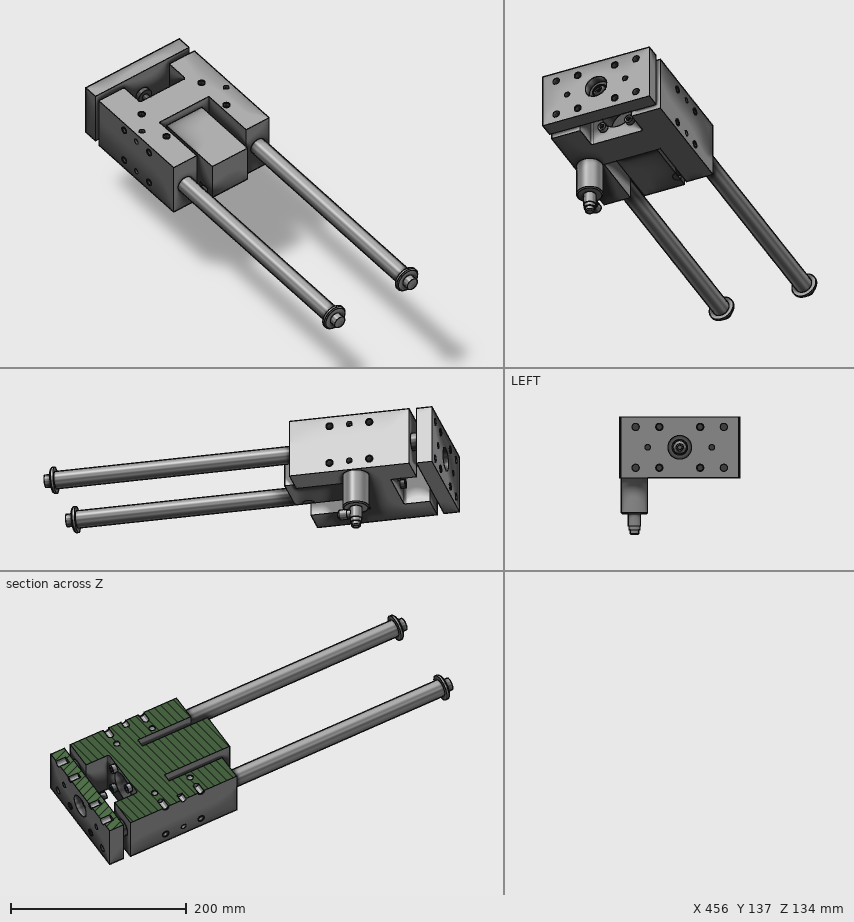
import cadquery as cq
import math

OVERALL_LENGTH = 456.0
OVERALL_WIDTH = 137.0
OVERALL_HEIGHT = 134.0
BODY_HEIGHT = 69.5
TOP_Z = BODY_HEIGHT / 2
BOTTOM_Z = -TOP_Z

BOLT_Z = 23.3
BOLT_DIAMETER = 7.0
BOLT_MOUTH_DIAMETER = 8.0
BOLT_DEPTH = 12.5
DRILL_POINT_ANGLE = 118.0
BOLT_MOUTH_DEPTH = 1.0
DOWEL_DIAMETER = 6.5
DOWEL_DEPTH = 9.0

ROD_DIAMETER = 20.0
ROD_Y = 52.0
FLANGE_DIAMETER = 30.0
FLANGE_X = 443.5
FLANGE_THICKNESS = 4.0
FLANGE_CHAMFER = 1.5
STUB_DIAMETER = 14.5

PLATE_THICKNESS = 18.2
PLATE_WIDTH = 134.0
PLATE_CORNER_Y = 50.0
PLATE_CORNER_DIAMETER = 8.0
PLATE_INNER_Y = 23.3
PLATE_DOWEL_Y = 36.5
PLATE_BORE_DIAMETER = 27.0
PLATE_BORE_DEPTH = 11.0

WASHER_DIAMETER = 18.5
WASHER_THICKNESS = 5.5
STUD_DIAMETER = 8.0
STUD_LENGTH = 9.5
HEAD_DIAMETER = 18.0
HEAD_RIM_HEIGHT = 1.5
HEAD_CONE_DIAMETER = 15.0
HEAD_TIP_DIAMETER = 8.0
HEAD_CONE_HEIGHT = 4.0
SOCKET_DIAMETER = 5.0
SOCKET_DEPTH = 3.5

HOUSING_X = 26.5
HOUSING_LENGTH = 140.0
HOUSING_END_X = HOUSING_X + HOUSING_LENGTH
WEB_FRONT_X = 56.5
WEB_REAR_X = 96.5
FRONT_POCKET_WIDTH = 64.8
REAR_POCKET_WIDTH = 70.5
POCKET_RADIUS = 2.5
HOLE_CENTRE_X = HOUSING_X + HOUSING_LENGTH / 2
HOLE_SPACING = 46.5
TOP_BOLT_Y = 43.0
TOP_DOWEL_Y = 60.0
WEB_BORE_DIAMETER = 37.5
WEB_BORE_DEPTH = 25.0

SCREW_Y = 17.0
SCREW_Z = 17.0
SCREW_HEAD_DIAMETER = 10.0
SCREW_HEAD_HEIGHT = 5.5
SCREW_SOCKET_DIAMETER = 5.0
SCREW_SOCKET_DEPTH = 3.0

BLOCK_END_X = 182.5
BLOCK_WIDTH = 50.5
BLOCK_HEIGHT = 48.5
BLOCK_Z = -0.5
NOTCH_RADIUS = 7.0
NOTCH_X = HOUSING_END_X
NOTCH_BOTTOM_Z = -24.0
NOTCH_HEIGHT = 7.0

BARREL_X = 92.5
BARREL_Y = 51.5
BARREL_DIAMETER = 30.0
BARREL_END_Z = -75.5
BARREL_CHAMFER = 1.5
CONNECTOR_DIAMETER = 14.0
CONNECTOR_END_Z = -89.5
COLLAR_DIAMETER = 12.8
COLLAR_END_Z = -94.0
TIP_DIAMETER = 10.0
TIP_CHAMFER = 1.5
CONNECTOR_TIP_Z = TOP_Z - OVERALL_HEIGHT
ELBOW_Z = -82.5
ELBOW_NECK_DIAMETER = 9.0
ELBOW_KNOB_DIAMETER = 11.5
ELBOW_KNOB_X = 102.5
ELBOW_END_X = 113.5
ELBOW_CHAMFER = 2.5


def cylinder_x(diameter, x_start, x_end, y=0.0, z=0.0):
    """Cylinder running along X between two X positions."""
    return cq.Workplane("YZ", origin=(x_start, y, z)).circle(diameter / 2).extrude(x_end - x_start)


def cylinder_z(diameter, z_start, z_end, x, y):
    """Cylinder running along Z between two Z positions."""
    return cq.Workplane("XY", origin=(x, y, z_start)).circle(diameter / 2).extrude(z_end - z_start)


def box_between(x_start, x_end, width, height):
    """Box between two X positions, centred on Y = 0 and Z = 0."""
    return cq.Workplane("YZ", origin=(x_start, 0, 0)).rect(width, height).extrude(x_end - x_start)


def mirrored(y, z):
    """The four points at plus and minus y and z."""
    return [(side * y, level * z) for side in (-1, 1) for level in (-1, 1)]


def make_rod(y):
    rod = cylinder_x(ROD_DIAMETER, PLATE_THICKNESS, FLANGE_X, y)
    flange = cylinder_x(FLANGE_DIAMETER, FLANGE_X, FLANGE_X + FLANGE_THICKNESS, y)
    flange = flange.faces(">X").chamfer(FLANGE_CHAMFER)
    stub = cylinder_x(STUB_DIAMETER, FLANGE_X + FLANGE_THICKNESS, OVERALL_LENGTH, y)
    return rod.union(flange).union(stub)


def make_plate():
    plate = box_between(0, PLATE_THICKNESS, PLATE_WIDTH, BODY_HEIGHT)
    for y, z in mirrored(PLATE_CORNER_Y, BOLT_Z):
        plate = plate.cut(cylinder_x(PLATE_CORNER_DIAMETER, 0, BOLT_DEPTH, y, z))
    for y, z in mirrored(PLATE_INNER_Y, BOLT_Z):
        plate = plate.cut(cylinder_x(BOLT_MOUTH_DIAMETER, 0, BOLT_MOUTH_DEPTH, y, z))
        plate = plate.cut(cylinder_x(BOLT_DIAMETER, 0, BOLT_DEPTH, y, z))
    for y in (-PLATE_DOWEL_Y, PLATE_DOWEL_Y):
        plate = plate.cut(cylinder_x(DOWEL_DIAMETER, 0, DOWEL_DEPTH, y))
    return plate.cut(cylinder_x(PLATE_BORE_DIAMETER, 0, PLATE_BORE_DEPTH))


def make_coupling():
    washer_end = PLATE_THICKNESS + WASHER_THICKNESS
    washer = cylinder_x(WASHER_DIAMETER, PLATE_THICKNESS, washer_end)
    stud = cylinder_x(STUD_DIAMETER, washer_end, washer_end + STUD_LENGTH)
    rim_front = PLATE_BORE_DEPTH - HEAD_RIM_HEIGHT
    head_front = rim_front - HEAD_CONE_HEIGHT
    rim = cylinder_x(HEAD_DIAMETER, rim_front, PLATE_BORE_DEPTH)
    cone = (
        cq.Workplane("YZ", origin=(rim_front, 0, 0)).circle(HEAD_CONE_DIAMETER / 2)
        .workplane(offset=-HEAD_CONE_HEIGHT).circle(HEAD_TIP_DIAMETER / 2).loft()
    )
    socket = cylinder_x(SOCKET_DIAMETER, head_front, head_front + SOCKET_DEPTH)
    return washer.union(stud).union(rim.union(cone).cut(socket))


def make_slide():
    slide = make_plate().union(make_coupling())
    for y in (-ROD_Y, ROD_Y):
        slide = slide.union(make_rod(y))
    return slide


def housing_outline():
    """Housing block with an open pocket in front of the web and another behind it."""
    block = box_between(HOUSING_X, HOUSING_END_X, OVERALL_WIDTH, BODY_HEIGHT)
    front = box_between(HOUSING_X, WEB_FRONT_X, FRONT_POCKET_WIDTH, BODY_HEIGHT)
    front = front.edges("|Z and >X").fillet(POCKET_RADIUS)
    rear = box_between(WEB_REAR_X, HOUSING_END_X, REAR_POCKET_WIDTH, BODY_HEIGHT)
    return block.cut(front).cut(rear)


def drilled_hole(plane, origin):
    """Blind hole with a conical drill point, going in against the plane's normal."""
    radius = BOLT_DIAMETER / 2
    point_depth = radius / math.tan(math.radians(DRILL_POINT_ANGLE / 2))
    mouth = cq.Workplane(plane, origin=origin).circle(BOLT_MOUTH_DIAMETER / 2).extrude(-BOLT_MOUTH_DEPTH)
    shaft = cq.Workplane(plane, origin=origin).circle(radius).extrude(-BOLT_DEPTH)
    inward = cq.Plane.named(plane).zDir.multiply(-1)
    tip_base = cq.Vector(*origin) + inward.multiply(BOLT_DEPTH)
    point = cq.Workplane(cq.Solid.makeCone(radius, 0, point_depth, tip_base, inward))
    return mouth.union(shaft).union(point)


def dowel_hole(plane, origin):
    return cq.Workplane(plane, origin=origin).circle(DOWEL_DIAMETER / 2).extrude(-DOWEL_DEPTH)


def drill_housing(housing):
    bolt_xs = (HOLE_CENTRE_X - HOLE_SPACING / 2, HOLE_CENTRE_X + HOLE_SPACING / 2)
    for side, plane in ((-1, "XZ"), (1, "ZX")):
        side_y = side * OVERALL_WIDTH / 2
        for z in (-BOLT_Z, BOLT_Z):
            housing = housing.cut(dowel_hole(plane, (HOLE_CENTRE_X, side_y, z)))
            for x in bolt_xs:
                housing = housing.cut(drilled_hole(plane, (x, side_y, z)))
        housing = housing.cut(dowel_hole("XY", (HOLE_CENTRE_X, side * TOP_DOWEL_Y, TOP_Z)))
        for x in bolt_xs:
            housing = housing.cut(drilled_hole("XY", (x, side * TOP_BOLT_Y, TOP_Z)))
        housing = housing.cut(cylinder_x(ROD_DIAMETER, HOUSING_X, HOUSING_END_X, side * ROD_Y))
    return housing.cut(cylinder_x(WEB_BORE_DIAMETER, WEB_FRONT_X, WEB_FRONT_X + WEB_BORE_DEPTH))


def make_cap_screw(y, z):
    head_front = WEB_FRONT_X - SCREW_HEAD_HEIGHT
    head = cylinder_x(SCREW_HEAD_DIAMETER, head_front, WEB_FRONT_X, y, z)
    return head.cut(cylinder_x(SCREW_SOCKET_DIAMETER, head_front, head_front + SCREW_SOCKET_DEPTH, y, z))


def make_block():
    block = box_between(WEB_REAR_X, BLOCK_END_X, BLOCK_WIDTH, BLOCK_HEIGHT).translate((0, 0, BLOCK_Z))
    notch = cylinder_z(2 * NOTCH_RADIUS, NOTCH_BOTTOM_Z, NOTCH_BOTTOM_Z + NOTCH_HEIGHT,
                       NOTCH_X, -BLOCK_WIDTH / 2)
    return block.cut(notch)


def make_connector():
    barrel = cylinder_z(BARREL_DIAMETER, BARREL_END_Z, BOTTOM_Z, BARREL_X, BARREL_Y)
    barrel = barrel.faces("<Z").chamfer(BARREL_CHAMFER)
    body = cylinder_z(CONNECTOR_DIAMETER, CONNECTOR_END_Z, BARREL_END_Z, BARREL_X, BARREL_Y)
    collar = cylinder_z(COLLAR_DIAMETER, COLLAR_END_Z, CONNECTOR_END_Z, BARREL_X, BARREL_Y)
    tip = cylinder_z(TIP_DIAMETER, CONNECTOR_TIP_Z, COLLAR_END_Z, BARREL_X, BARREL_Y)
    tip = tip.faces("<Z").chamfer(TIP_CHAMFER)
    neck = cylinder_x(ELBOW_NECK_DIAMETER, BARREL_X, ELBOW_KNOB_X, BARREL_Y, ELBOW_Z)
    knob = cylinder_x(ELBOW_KNOB_DIAMETER, ELBOW_KNOB_X, ELBOW_END_X, BARREL_Y, ELBOW_Z)
    knob = knob.faces(">X").chamfer(ELBOW_CHAMFER)
    return barrel.union(body).union(collar).union(tip).union(neck).union(knob)


def make_housing():
    housing = drill_housing(housing_outline())
    for y, z in mirrored(SCREW_Y, SCREW_Z):
        housing = housing.union(make_cap_screw(y, z))
    return housing.union(make_block()).union(make_connector())


slide = make_slide()
housing = make_housing()
result = cq.Compound.makeCompound([slide.val(), housing.val()])